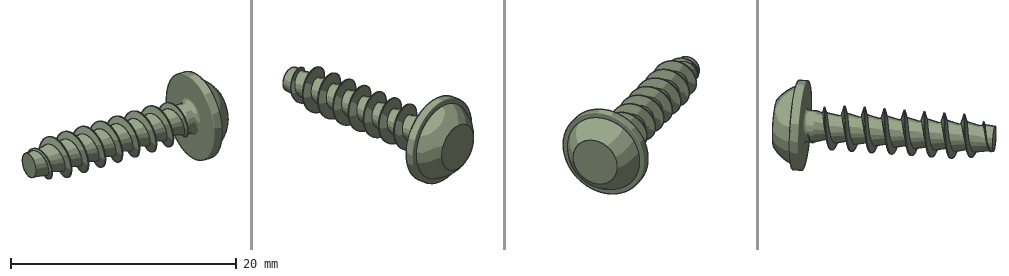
import cadquery as cq
import math

length = 19.6
flange_radius = 4.0
flange_top_depth = 1.78
flange_bottom_depth = 2.63
flange_edge_round = 0.05

dome_flat_radius = 2.15
dome_base_radius = 3.53

neck_radius = 1.4
neck_end_depth = 3.59
neck_fillet = 0.35

counted_turns = 7
counted_turns_length = 12.52
pitch = counted_turns_length / counted_turns
core_radius = 1.12
core_shoulder_rise = 0.25
crest_radius = 2.0
crest_width = 0.1
thread_base_width = 0.55
crest_depth_at_plus_x = 5.72
turn_gap = 0.08
wedge_dip = 0.02
thread_embed = 0.15

neck_taper_end_depth = 4.5
run_in_start_depth = 3.05
run_in_start_radius = 1.4
run_in_slope = 0.3
run_out_end_depth = 19.4
run_out_end_radius = 1.18
run_out_slope = 0.34

piece_count = 18
steps_per_piece = 10


def make_head():
    """Spherical dome with a flat end, sitting on a round flange."""
    sphere_center = (
        dome_flat_radius**2 + flange_top_depth**2 - dome_base_radius**2
    ) / (2 * flange_top_depth)
    sphere_radius = math.hypot(dome_base_radius, sphere_center)
    middle_height = flange_top_depth / 2
    middle_radius = math.sqrt(sphere_radius**2 - (middle_height - sphere_center) ** 2)
    dome = (
        cq.Workplane("XZ")
        .lineTo(dome_flat_radius, 0)
        .threePointArc((middle_radius, middle_height), (dome_base_radius, flange_top_depth))
        .lineTo(0, flange_top_depth)
        .close()
        .revolve(360, (0, 0, 0), (0, 1, 0))
    )
    flange = (
        cq.Workplane("XY", origin=(0, 0, flange_top_depth))
        .circle(flange_radius)
        .extrude(flange_bottom_depth - flange_top_depth)
        .edges()
        .fillet(flange_edge_round)
    )
    return dome.union(flange)


def make_shank():
    """Core tapering from the neck, with a fillet running out onto the flange."""
    fillet_end = flange_bottom_depth + neck_fillet
    fillet_middle = neck_fillet * (1 - math.sqrt(0.5))
    return (
        cq.Workplane("XZ")
        .moveTo(0, flange_top_depth)
        .lineTo(neck_radius + neck_fillet, flange_top_depth)
        .lineTo(neck_radius + neck_fillet, flange_bottom_depth)
        .threePointArc(
            (neck_radius + fillet_middle, flange_bottom_depth + fillet_middle),
            (neck_radius, fillet_end),
        )
        .lineTo(neck_radius, neck_end_depth)
        .lineTo(core_radius, neck_taper_end_depth)
        .lineTo(core_radius, length)
        .lineTo(0, length)
        .close()
        .revolve(360, (0, 0, 0), (0, 1, 0))
    )


def thread_profile(depth):
    """Corners of the rib section, as (radius, depth), where its crest lies at this depth."""
    run_in = run_in_start_radius + run_in_slope * (depth - run_in_start_depth)
    run_out = run_out_end_radius + run_out_slope * (run_out_end_depth - depth)
    crest = min(crest_radius, run_in, run_out)
    growth = (crest - core_radius) / (crest_radius - core_radius)
    half_base = growth * thread_base_width / 2
    half_crest = growth * crest_width / 2
    wedge_end = pitch - thread_base_width / 2 - turn_gap
    root = core_radius - thread_embed
    return [
        (root, depth - half_base),
        (crest, depth - half_crest),
        (crest, depth + half_crest),
        (core_radius + growth * core_shoulder_rise, depth + half_base),
        (core_radius - wedge_dip, depth + wedge_end),
        (root, depth + wedge_end),
    ]


def make_thread_piece(start_depth, end_depth):
    """Solid stretch of the rib between two crest depths, its faces ruled between spirals."""
    corner_paths = [[] for _ in thread_profile(start_depth)]
    for step in range(steps_per_piece + 1):
        depth = start_depth + step / steps_per_piece * (end_depth - start_depth)
        angle = 2 * math.pi * (depth - crest_depth_at_plus_x) / pitch
        for path, (radius, corner_depth) in zip(corner_paths, thread_profile(depth)):
            path.append(
                cq.Vector(radius * math.cos(angle), radius * math.sin(angle), corner_depth)
            )

    edges = [cq.Edge.makeSpline(path) for path in corner_paths]
    next_edges = edges[1:] + edges[:1]
    faces = [cq.Face.makeRuledSurface(edge, other) for edge, other in zip(edges, next_edges)]
    for end in (0, -1):
        outline = cq.Wire.makePolygon([path[end] for path in corner_paths], close=True)
        faces.append(cq.Face.makeFromWires(outline))
    return cq.Solid.makeSolid(cq.Shell.makeShell(faces)).fix()


def add_thread(shank):
    """Shank with the helical rib and its saw-tooth core, cut off flat at the tip."""
    piece_depth = (run_out_end_depth - run_in_start_depth) / piece_count
    for index in range(piece_count):
        start_depth = run_in_start_depth + index * piece_depth
        shank = shank.union(
            cq.Workplane(make_thread_piece(start_depth, start_depth + piece_depth)), clean=False
        )
    beyond_tip = (
        cq.Workplane("XY", origin=(0, 0, length)).circle(flange_radius).extrude(2 * pitch)
    )
    return shank.cut(beyond_tip)


screw = make_head().union(add_thread(make_shank()))

result = screw.rotate((0, 0, 0), (1, 0, 0), 90).translate((0, flange_bottom_depth, 0))